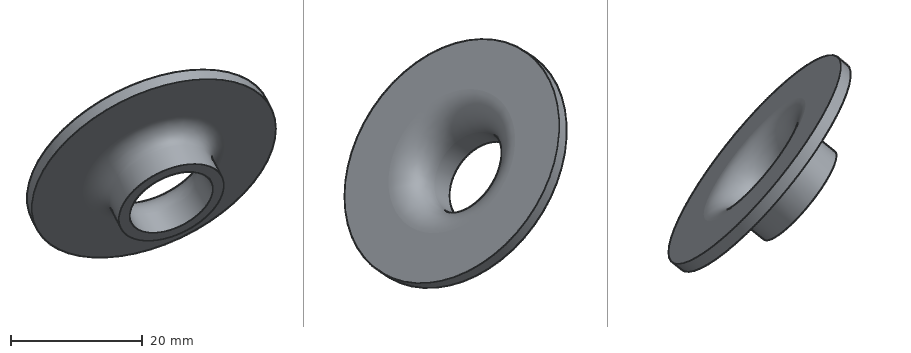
import cadquery as cq

flange_diameter = 40
flange_thickness = 2
collar_outer_diameter = 17.2
bore_diameter = 13.6
total_length = 9.0
inner_flare_radius = 5.0

outer_fillet_radius = inner_flare_radius - flange_thickness

flange_radius = flange_diameter / 2
collar_radius = collar_outer_diameter / 2
bore_radius = bore_diameter / 2
flare_end_x = inner_flare_radius


def make_half_section():
    """Wall section above the X axis: X is axial, Y is the radius."""
    return (
        cq.Workplane("XY")
        .moveTo(0, bore_radius + inner_flare_radius)
        .lineTo(0, flange_radius)
        .lineTo(flange_thickness, flange_radius)
        .lineTo(flange_thickness, collar_radius + outer_fillet_radius)
        .radiusArc((flare_end_x, collar_radius), -outer_fillet_radius)
        .lineTo(total_length, collar_radius)
        .lineTo(total_length, bore_radius)
        .lineTo(flare_end_x, bore_radius)
        .radiusArc((0, bore_radius + inner_flare_radius), inner_flare_radius)
        .close()
    )


result = make_half_section().revolve(360, (0, 0, 0), (1, 0, 0))